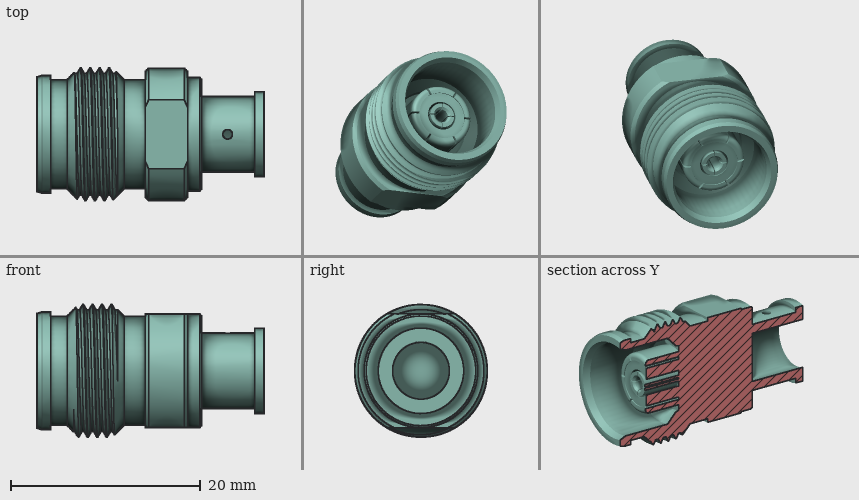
import cadquery as cq
import math

LENGTH = 24.0

rim_radius = 6.22
rim_length = 1.46
rim_bevel_length = 0.53
rim_bevel_depth = 0.17
neck_radius = 5.75

thread_radius = 7.0
thread_root_radius = 6.45
thread_pitch = 1.0
thread_root_flat = 0.3
thread_half_angle = math.radians(30)
thread_turns = 6
thread_start = 3.38
thread_clearance = 0.02
band_start = 3.2
band_end = 9.22

wrench_start = 11.45
wrench_end = 15.9
wrench_radius = 7.0
wrench_bevel = 0.35
flat_height = 6.0

collar_end = 17.4
collar_radius = 6.0
collar_bevel = 0.22
barrel_radius = 4.0
end_flange_radius = 4.5
end_flange_length = 1.0

cable_bore_radius = 3.0
cable_bore_depth = LENGTH - collar_end
solder_hole_radius = 0.5
solder_hole_x = 20.14

mouth_radius = 5.35
mouth_bevel_length = 0.75
mouth_bore_radius = 5.05
mouth_bore_end = 6.25
taper_half_angle = math.radians(45)
taper_back_radius = 3.98
cavity_floor_radius = 3.86
cavity_depth = 7.68

sleeve_tip_x = 3.3
sleeve_radius = 3.3
sleeve_round = 0.48
sleeve_bore_radius = 2.52
sleeve_slot_count = 6
sleeve_slot_width = 0.22

insulator_face_x = 3.43
contact_gap_radius = 1.54
contact_radius = 1.32
contact_face_x = 3.25
contact_hole_radius = 0.925
contact_hole_bevel_radius = 0.7
contact_slot_count = 2
contact_slot_width = 0.1


def turned(points):
    """Revolve a closed (x, radius) outline about the X axis."""
    return cq.Workplane("XY").polyline(points).close().revolve(360, (0, 0, 0), (1, 0, 0))


def disc(radius, start, end):
    return cq.Workplane("YZ").workplane(offset=start).circle(radius).extrude(end - start)


def outer_body():
    return turned([
        (0, 0),
        (0, rim_radius - rim_bevel_depth),
        (rim_bevel_length, rim_radius),
        (rim_length, rim_radius),
        (rim_length, neck_radius),
        (wrench_start, neck_radius),
        (wrench_start, collar_radius),
        (collar_end - collar_bevel, collar_radius),
        (collar_end, collar_radius - collar_bevel),
        (collar_end, barrel_radius),
        (LENGTH - end_flange_length, barrel_radius),
        (LENGTH - end_flange_length, end_flange_radius),
        (LENGTH, end_flange_radius),
        (LENGTH, 0),
    ])


def wrench_body():
    length = wrench_end - wrench_start
    body = disc(wrench_radius, wrench_start, wrench_end).faces("<X or >X").chamfer(wrench_bevel)
    middle = (wrench_start + wrench_end) / 2
    flats = cq.Workplane("XY").box(length, 2 * wrench_radius, 2 * flat_height)
    return body.intersect(flats.translate((middle, 0, 0)))


def thread_groove():
    """Right-hand helical groove, running out through the cone at each end."""
    top_radius = thread_radius + thread_clearance
    half_root = thread_root_flat / 2
    half_top = half_root + (top_radius - thread_root_radius) * math.tan(thread_half_angle)
    helix = cq.Wire.makeHelix(thread_pitch, thread_turns * thread_pitch, thread_root_radius)
    groove = (
        cq.Workplane("XZ")
        .polyline([
            (thread_root_radius, -half_root),
            (top_radius, -half_top),
            (top_radius, half_top),
            (thread_root_radius, half_root),
        ])
        .close()
        .sweep(cq.Workplane(helix), isFrenet=True)
    )
    groove = groove.rotate((0, 0, 0), (0, 1, 0), 90).rotate((0, 0, 0), (1, 0, 0), 180)
    return groove.translate((thread_start, 0, 0))


def threaded_band():
    """Threaded cylinder trimmed to a 45 degree cone at each end."""
    cone_length = thread_radius - neck_radius
    envelope = turned([
        (band_start, 0),
        (band_start, neck_radius),
        (band_start + cone_length, thread_radius),
        (band_end - cone_length, thread_radius),
        (band_end, neck_radius),
        (band_end, 0),
    ])
    return disc(thread_radius, band_start, band_end).cut(thread_groove()).intersect(envelope)


def mouth_cavity():
    taper_length = (mouth_bore_radius - taper_back_radius) / math.tan(taper_half_angle)
    return turned([
        (0, 0),
        (0, mouth_radius),
        (mouth_bevel_length, mouth_bore_radius),
        (mouth_bore_end, mouth_bore_radius),
        (mouth_bore_end + taper_length, taper_back_radius),
        (cavity_depth, cavity_floor_radius),
        (cavity_depth, 0),
    ])


def slots(count, width, radius, start):
    """Full-diameter cuts across the axis, from `start` back to the cavity floor."""
    depth = cavity_depth - start
    blade = cq.Workplane("XY").box(depth, 2 * radius, width).translate((start + depth / 2, 0, 0))
    cutter = blade
    for i in range(1, count):
        cutter = cutter.union(blade.rotate((0, 0, 0), (1, 0, 0), i * 180 / count))
    return cutter


def sleeve():
    tube = disc(sleeve_radius, sleeve_tip_x, cavity_depth).faces("<X").edges().fillet(sleeve_round)
    tube = tube.cut(disc(sleeve_bore_radius, sleeve_tip_x, cavity_depth))
    return tube.cut(slots(sleeve_slot_count // 2, sleeve_slot_width, sleeve_radius, sleeve_tip_x))


def insulator():
    ring = disc(sleeve_bore_radius, insulator_face_x, cavity_depth)
    return ring.cut(disc(contact_gap_radius, insulator_face_x, cavity_depth))


def center_contact():
    pin = disc(contact_radius, contact_face_x, cavity_depth)
    pin = pin.cut(slots(contact_slot_count, contact_slot_width, contact_radius, contact_face_x))
    return pin


def contact_hole():
    bevel = contact_hole_radius - contact_hole_bevel_radius
    bore_end = cavity_depth
    return turned([
        (contact_face_x, 0),
        (contact_face_x, contact_hole_radius),
        (contact_face_x + bevel, contact_hole_bevel_radius),
        (bore_end, contact_hole_bevel_radius),
        (bore_end + contact_hole_bevel_radius, 0),
    ])


def cable_bore():
    bore = disc(cable_bore_radius, LENGTH - cable_bore_depth, LENGTH)
    hole = cq.Workplane("XY").center(solder_hole_x, 0).circle(solder_hole_radius).extrude(barrel_radius)
    return bore.union(hole)


result = (
    outer_body()
    .union(threaded_band())
    .union(wrench_body())
    .union(disc(collar_radius, wrench_start, wrench_end))
    .cut(mouth_cavity())
    .union(sleeve())
    .union(insulator())
    .union(center_contact())
    .cut(contact_hole())
    .cut(cable_bore())
)